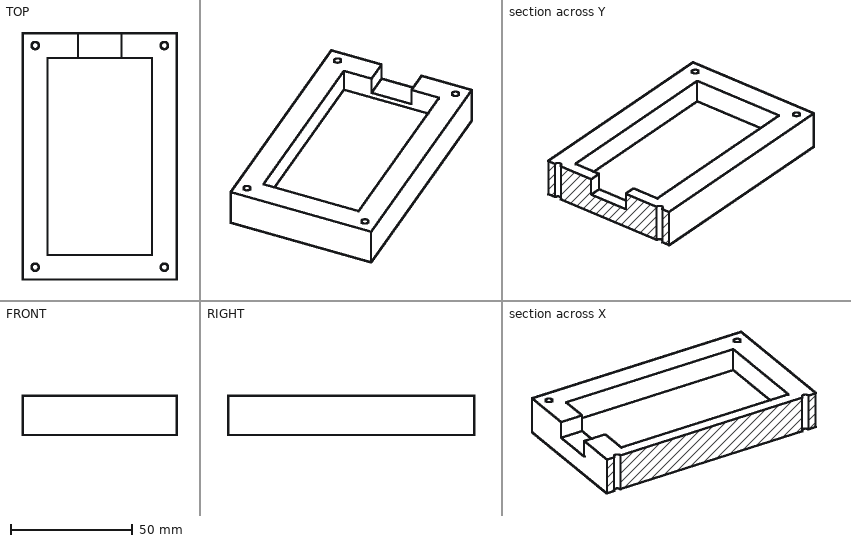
import cadquery as cq

width = 63.5
length = 101.6
floor_thickness = 6.35
pocket_depth = 10.0
height = floor_thickness + pocket_depth

pocket_width = 43.0
pocket_length = 81.2
side_wall = (width - pocket_width) / 2
end_wall = (length - pocket_length) / 2

notch_width = 18.0
notch_depth = 7.5
notch_center_y = (length - end_wall) / 2

hole_diameter = 2.9
hole_spacing_x = width - side_wall
hole_spacing_y = length - end_wall


def top_plane(body):
    """Work plane on the top rim, centred on the block."""
    return body.faces(">Z").workplane(origin=(0, 0, height))


def make_block():
    """Solid block centred in X and Y, resting on Z = 0."""
    return cq.Workplane("XY").box(width, length, height, centered=(True, True, False))


def cut_pocket(body):
    """Sink the pocket down to the floor."""
    return top_plane(body).rect(pocket_width, pocket_length).cutBlind(-pocket_depth)


def cut_notch(body):
    """Open the pocket out through the +Y wall, leaving a low sill."""
    return (
        top_plane(body)
        .center(0, notch_center_y)
        .rect(notch_width, end_wall)
        .cutBlind(-notch_depth)
    )


def drill_corner_holes(body):
    """Drill one through hole in each corner of the rim."""
    return (
        top_plane(body)
        .rect(hole_spacing_x, hole_spacing_y, forConstruction=True)
        .vertices()
        .hole(hole_diameter)
    )


block = make_block()
pocketed = cut_pocket(block)
notched = cut_notch(pocketed)
result = drill_corner_holes(notched)